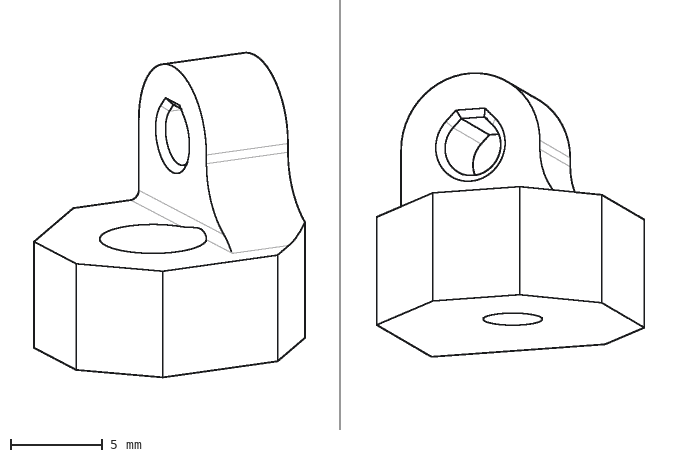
import cadquery as cq
import math

length_x = 13.5
width_y = 14.0
height_z = 14.5

base_height = 6.0
large_corner = 5.0
small_corner = 3.5

lug_radius = 4.0
lug_thickness = 5.0
lug_center_x = lug_radius
lug_center_z = height_z - lug_radius
lug_side_x = 2 * lug_radius
lug_front_y = width_y - lug_thickness
side_sweep_radius = 4.0
root_fillet = 0.5

bore_radius = 3.2 / 2
countersink_radius = 4.0 / 2
countersink_depth = countersink_radius - bore_radius
counterbore_radius = 5.8 / 2
counterbore_depth = 2.0
base_hole_x = 7.5
base_hole_y = 6.0


def footprint(height):
    """Rectangle with three cut corners, seen from above."""
    return (
        cq.Workplane("XY")
        .moveTo(0, large_corner)
        .lineTo(large_corner, 0)
        .lineTo(length_x - small_corner, 0)
        .lineTo(length_x, small_corner)
        .lineTo(length_x, width_y - small_corner)
        .lineTo(length_x - small_corner, width_y)
        .lineTo(0, width_y)
        .close()
        .extrude(height)
    )


def arc_point(center_x, center_z, radius, degrees):
    angle = math.radians(degrees)
    return (center_x + radius * math.cos(angle), center_z + radius * math.sin(angle))


def lug():
    """Round-topped lug with a swept right side and a filleted front root."""
    sweep_x = lug_side_x + side_sweep_radius
    sweep_z = base_height + side_sweep_radius
    face = (
        cq.Workplane("XZ", origin=(0, width_y, 0))
        .lineTo(0, lug_center_z)
        .threePointArc((lug_center_x, height_z), (lug_side_x, lug_center_z))
        .lineTo(lug_side_x, sweep_z)
        .threePointArc(arc_point(sweep_x, sweep_z, side_sweep_radius, 225), (sweep_x, base_height))
        .lineTo(sweep_x, 0)
        .close()
        .extrude(lug_thickness + root_fillet)
    )
    fillet_y = lug_front_y - root_fillet
    fillet_z = base_height + root_fillet
    side = (
        cq.Workplane("YZ")
        .moveTo(width_y, 0)
        .lineTo(width_y, height_z)
        .lineTo(lug_front_y, height_z)
        .lineTo(lug_front_y, fillet_z)
        .threePointArc(arc_point(fillet_y, fillet_z, root_fillet, -45), (fillet_y, base_height))
        .lineTo(fillet_y, 0)
        .close()
        .extrude(length_x)
    )
    return face.intersect(side)


def teardrop(workplane, radius):
    """Circle whose top becomes two 45 degree flanks and a flat at the circle's height."""
    tangent = radius * math.sqrt(0.5)
    half_flat = radius * (math.sqrt(2) - 1)
    return (
        workplane.moveTo(-tangent, tangent)
        .threePointArc((0, -radius), (tangent, tangent))
        .lineTo(half_flat, radius)
        .lineTo(-half_flat, radius)
        .close()
    )


def lug_hole():
    """Horizontal teardrop bore with a countersink on the lug front."""
    front = cq.Workplane("XZ", origin=(lug_center_x, lug_front_y, lug_center_z))
    bore = teardrop(front, bore_radius).extrude(-lug_thickness)
    mouth = teardrop(front, countersink_radius).workplane(offset=-countersink_depth)
    countersink = teardrop(mouth, bore_radius).loft(ruled=True)
    return bore.union(countersink)


def base_hole():
    """Vertical bore, countersink and counterbore, revolved about the hole axis."""
    seat_z = base_height - counterbore_depth
    return (
        cq.Workplane("XZ", origin=(base_hole_x, base_hole_y, 0))
        .lineTo(bore_radius, 0)
        .lineTo(bore_radius, seat_z - countersink_depth)
        .lineTo(countersink_radius, seat_z)
        .lineTo(counterbore_radius, seat_z)
        .lineTo(counterbore_radius, height_z)
        .lineTo(0, height_z)
        .close()
        .revolve(360, (0, 0, 0), (0, 1, 0))
    )


body = footprint(base_height).union(lug().intersect(footprint(height_z)))
result = body.cut(lug_hole()).cut(base_hole())